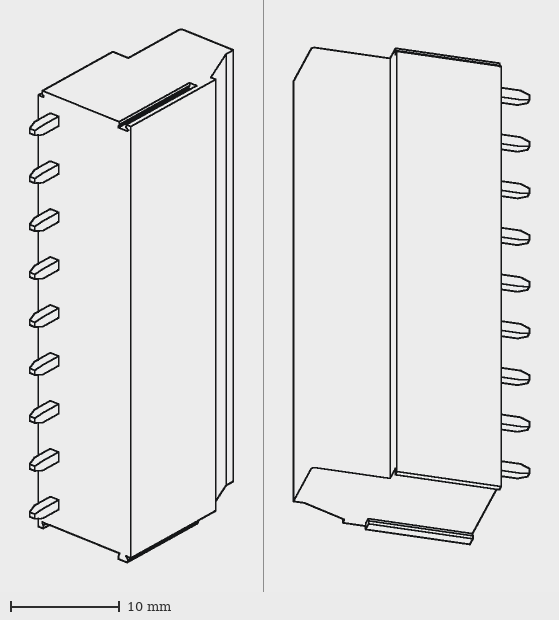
import cadquery as cq

width = 11.2
overall_height = 45.65
overall_depth = 20.55
pin_length = 3.15
joint_depth = 0.65
pin_count = 9

body_height = overall_height - joint_depth
body_depth = overall_depth - pin_length
pitch = body_height / pin_count

base_depth = 9.95
upper_left = 2.37
shelf_depth = 12.0
shelf_left = 10.6
rear_right = 8.7
slope_top = 16.35
rear_round = 0.3

lead_in_depth = 0.27
groove_flare_depth = 0.5
rail_flare_depth = 0.3
hook_mouth = 0.5
hook_neck = 0.45
hook_flare = 0.6
tail_left_mouth = 9.75
tail_left_neck = 9.8
tail_left_flare = 9.7
tail_right_mouth = 10.65
tail_right_neck = 10.6
tail_right_flare = 10.85
tail_right_floor = 10.75

pin_side = 1.0
pin_x = 1.95
pin_tip_length = 0.9
pin_tip_width = 0.65
pin_tip_height = 0.5


def make_body():
    outline = [
        (0, 0),
        (width, 0),
        (width, shelf_depth),
        (shelf_left, shelf_depth),
        (rear_right, slope_top),
        (rear_right, body_depth),
        (upper_left, body_depth),
        (upper_left, base_depth),
        (0, base_depth),
    ]
    body = cq.Workplane("XY").polyline(outline).close().extrude(body_height)
    rear_edge = cq.selectors.NearestToPointSelector((upper_left, body_depth, body_height / 2))
    return body.edges(rear_edge).fillet(rear_round)


def extrude_joints(hook, dovetail, end_z):
    """Run both joint outlines along Y, with their depths measured from the level end_z."""
    plane = cq.Workplane("XZ", origin=(0, 0, end_z))
    hook_bar = plane.polyline(hook).close().extrude(-base_depth)
    dovetail_bar = plane.polyline(dovetail).close().extrude(-base_depth)
    return hook_bar.union(dovetail_bar)


def make_grooves():
    hook = [
        (0, 0),
        (hook_mouth, 0),
        (hook_neck, -lead_in_depth),
        (hook_flare, -groove_flare_depth),
        (hook_flare, -joint_depth),
        (0, -joint_depth),
    ]
    dovetail = [
        (tail_left_mouth, 0),
        (tail_left_neck, -lead_in_depth),
        (tail_left_flare, -groove_flare_depth),
        (tail_left_flare, -joint_depth),
        (tail_right_floor, -joint_depth),
        (tail_right_flare, -groove_flare_depth),
        (tail_right_neck, -lead_in_depth),
        (tail_right_mouth, 0),
    ]
    return extrude_joints(hook, dovetail, body_height)


def make_rails():
    hook = [
        (0, 0),
        (hook_neck, 0),
        (hook_flare, -rail_flare_depth),
        (hook_flare, -joint_depth),
        (0, -joint_depth),
    ]
    dovetail = [
        (tail_left_neck, 0),
        (tail_left_flare, -rail_flare_depth),
        (tail_left_flare, -joint_depth),
        (tail_right_floor, -joint_depth),
        (tail_right_flare, -rail_flare_depth),
        (tail_right_neck, 0),
    ]
    return extrude_joints(hook, dovetail, 0)


def make_pin(z):
    shank_length = pin_length - pin_tip_length
    face = cq.Workplane("XZ", origin=(pin_x, 0, z))
    shank = face.rect(pin_side, pin_side).extrude(shank_length)
    tip = (
        face.workplane(offset=shank_length)
        .rect(pin_side, pin_side)
        .workplane(offset=pin_tip_length)
        .rect(pin_tip_width, pin_tip_height)
        .loft(ruled=True)
    )
    return shank.union(tip)


result = make_body().cut(make_grooves()).union(make_rails())
for index in range(pin_count):
    result = result.union(make_pin((index + 0.5) * pitch))